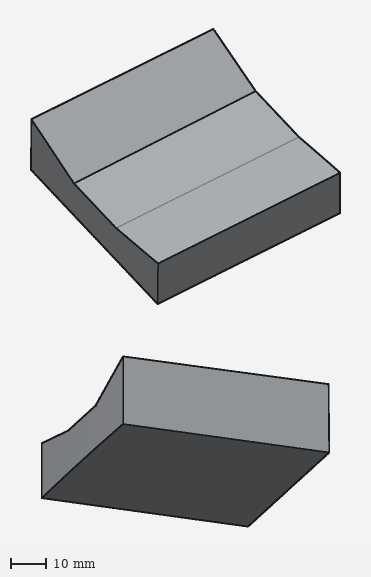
import cadquery as cq

width = 64.05
depth = 63.45
height = 20.9

floor_height = 13.05
floor_right = 42.8
right_height = 16.8

front_floor_left = 21.65
back_floor_left = 21.1
ramp_slope = (height - floor_height) / front_floor_left
back_left_height = floor_height + ramp_slope * back_floor_left

back_corner_setback = 0.25
front_lean = 0.2


def section(y, floor_left, left_height):
    """Closed cross-section of the block at the given depth."""
    outline = [
        (0, 0),
        (width, 0),
        (width, right_height),
        (floor_right, floor_height),
        (floor_left, floor_height),
        (0, left_height),
    ]
    return cq.Wire.makePolygon([cq.Vector(x, y, z) for x, z in outline], close=True)


def make_block():
    """Block carrying the floor and both ramps, with plain ends."""
    front = section(0, front_floor_left, height)
    back = section(depth, back_floor_left, back_left_height)
    return cq.Workplane(obj=cq.Solid.makeLoft([front, back], True))


def make_plan_limit():
    """Upright body with the bowed back face."""
    corner_y = depth - back_corner_setback
    return (
        cq.Workplane("XY")
        .lineTo(width, 0)
        .lineTo(width, corner_y)
        .threePointArc((width / 2, depth), (0, corner_y))
        .close()
        .extrude(height)
    )


def make_front_wedge():
    """Thin wedge removed to lean the front face back."""
    return (
        cq.Workplane("YZ")
        .polyline([(0, 0), (front_lean, height), (0, height)])
        .close()
        .extrude(width)
    )


result = make_block().intersect(make_plan_limit()).cut(make_front_wedge())